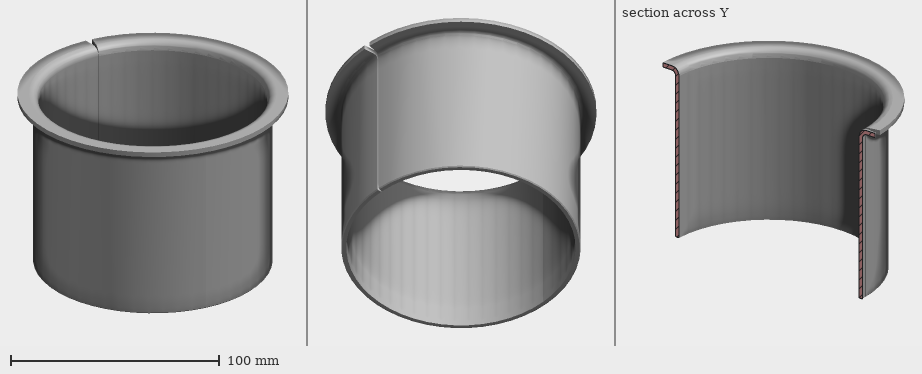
import cadquery as cq
import math

flange_radius = 65.0
height = 90.0
bore_radius = 55.0
wall = 2.5
outer_bend_radius = 2.0
bottom_chamfer = 0.5

split_angle = 182.0
split_inner_width = 0.1
split_rim_width = 3.4
split_overrun = 1.3

tube_radius = bore_radius + wall
inner_bend_radius = outer_bend_radius + wall
bend_center_r = tube_radius + outer_bend_radius
bend_start_z = height - inner_bend_radius
flange_bottom_z = height - wall


def bend_midpoint(radius):
    """Middle of the quarter-circle bend between tube and flange."""
    offset = radius * math.sqrt(0.5)
    return (bend_center_r - offset, bend_start_z + offset)


def make_sleeve():
    """Constant-thickness tube bent outward into a flange at the top."""
    profile = (
        cq.Workplane("XZ")
        .moveTo(bore_radius, 0)
        .lineTo(tube_radius - bottom_chamfer, 0)
        .lineTo(tube_radius, bottom_chamfer)
        .lineTo(tube_radius, bend_start_z)
        .threePointArc(bend_midpoint(outer_bend_radius), (bend_center_r, flange_bottom_z))
        .lineTo(flange_radius, flange_bottom_z)
        .lineTo(flange_radius, height)
        .lineTo(bend_center_r, height)
        .threePointArc(bend_midpoint(inner_bend_radius), (bore_radius, bend_start_z))
        .close()
    )
    return profile.revolve(360, (0, 0, 0), (0, 1, 0))


def make_split():
    """Full-height wedge, narrow at the bore and wide at the flange rim."""
    taper = (split_rim_width - split_inner_width) / (flange_radius - bore_radius)
    inner_r = bore_radius - split_overrun
    outer_r = flange_radius + split_overrun
    inner_half = split_inner_width / 2
    outer_half = (split_rim_width + taper * split_overrun) / 2
    wedge = (
        cq.Workplane("XY")
        .polyline([
            (inner_r, -inner_half),
            (bore_radius, -inner_half),
            (outer_r, -outer_half),
            (outer_r, outer_half),
            (bore_radius, inner_half),
            (inner_r, inner_half),
        ])
        .close()
        .extrude(height)
    )
    return wedge.rotate((0, 0, 0), (0, 0, 1), split_angle)


result = make_sleeve().cut(make_split())